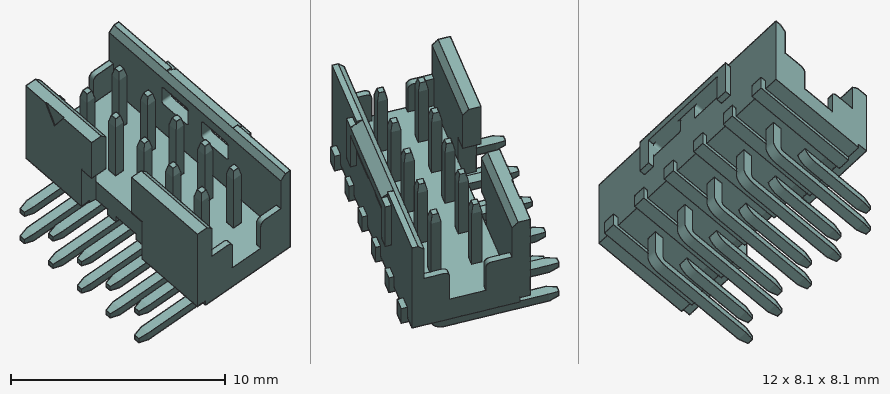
import cadquery as cq


columns = 5
body_width = 12.0
pitch = body_width / (columns + 1)
pin_width = pitch / 4
pin_tip_width = 0.3
pin_taper = 0.5
pin_top_z = -0.2
bend_inner_radius = 0.18
leg_end_y = -7.8
lowest_z = -8.1
back_row_y = -1.74
front_row_y = back_row_y - pitch
lower_leg_z = lowest_z + pin_width / 2
upper_leg_z = lower_leg_z + pitch

body_bottom_z = upper_leg_z + pin_width / 2
floor_top_z = -4.21
back_wall = 0.6
front_wall_inner_y = -4.9
front_wall_outer_y = -5.8
front_wall_bottom_z = -5.3
floor_front_y = -5.29
lead_in = 0.3

end_wall = 0.3
end_wall_top_z = -2.33
end_slot_back_y = -1.85
end_slot_front_y = -3.61
end_slot_round = 0.3

opening_upper_width = 2.8
opening_lower_width = 4.22
opening_step_z = -2.62

plate_width = 5.81
plate_proud = 0.3
plate_top_z = -0.32
plate_bottom_z = -3.08
ramp_width = 4.63

channel_width = ramp_width
window_inner_x = 0.47
window_outer_x = channel_width / 2
window_top_z = -0.91
window_bottom_z = -2.12
window_round = 0.15

foot_width = 0.61
foot_bottom_z = -5.9
foot_back_top_z = -4.87
outer_foot_proud = plate_proud
inner_foot_proud = 0.25

relief_height = 0.18
relief_length = 0.77

mark_width = 1.25
mark_height = 1.13
mark_depth = 0.05


def box(x_range, y_range, z_range):
    """Box spanning the given limits on each axis."""
    spans = [(min(r), max(r)) for r in (x_range, y_range, z_range)]
    sizes = [high - low for low, high in spans]
    corner = tuple(low for low, high in spans)
    return cq.Workplane("XY").box(*sizes, centered=False).translate(corner)


def centred_box(width, y_range, z_range, x=0.0):
    """Box of the given width centred on x."""
    return box((x - width / 2, x + width / 2), y_range, z_range)


def extrude_along_x(sketch, width):
    """Extrude a closed YZ sketch to the given width, centred on X = 0."""
    return sketch.extrude(width / 2, both=True)


def yz_prism(points, width):
    return extrude_along_x(cq.Workplane("YZ").polyline(points).close(), width)


def column_x(index, count):
    return (index - (count - 1) / 2) * pitch


def make_floor():
    return centred_box(body_width, (0, floor_front_y), (body_bottom_z, floor_top_z))


def make_back_wall():
    profile = [
        (0, body_bottom_z),
        (0, 0),
        (lead_in - back_wall, 0),
        (-back_wall, -lead_in),
        (-back_wall, body_bottom_z),
    ]
    return yz_prism(profile, body_width)


def make_front_wall():
    profile = [
        (front_wall_inner_y, front_wall_bottom_z),
        (front_wall_inner_y, -lead_in),
        (front_wall_inner_y - lead_in, 0),
        (front_wall_outer_y, 0),
        (front_wall_outer_y, front_wall_bottom_z),
    ]
    return yz_prism(profile, body_width)


def make_front_opening():
    """Stepped gap through the front wall and through the floor edge under it."""
    wall_y = (front_wall_inner_y, front_wall_outer_y)
    upper = centred_box(opening_upper_width, wall_y, (opening_step_z, 0))
    lower = centred_box(opening_lower_width, wall_y, (body_bottom_z, opening_step_z))
    return upper.union(lower)


def make_end_walls():
    profile = (
        cq.Workplane("YZ")
        .moveTo(0, floor_top_z)
        .lineTo(0, end_wall_top_z)
        .lineTo(end_slot_back_y + end_slot_round, end_wall_top_z)
        .radiusArc((end_slot_back_y, end_wall_top_z - end_slot_round), -end_slot_round)
        .lineTo(end_slot_back_y, floor_top_z)
        .close()
        .moveTo(front_wall_inner_y, floor_top_z)
        .lineTo(front_wall_inner_y, end_wall_top_z)
        .lineTo(end_slot_front_y - end_slot_round, end_wall_top_z)
        .radiusArc((end_slot_front_y, end_wall_top_z - end_slot_round), end_slot_round)
        .lineTo(end_slot_front_y, floor_top_z)
        .close()
    )
    wall = profile.extrude(end_wall)
    left = wall.translate((-body_width / 2, 0, 0))
    return left.union(wall.translate((body_width / 2 - end_wall, 0, 0)))


def make_back_plate():
    """Plate with a solid block for the ramp on top and an open channel behind the windows."""
    plate = centred_box(plate_width, (0, plate_proud), (plate_bottom_z, plate_top_z))
    infill = centred_box(ramp_width, (0, plate_proud), (plate_top_z, 0))
    channel = centred_box(channel_width, (0, plate_proud), (plate_bottom_z, window_top_z))
    return plate.union(infill).cut(channel)


def make_ramp_cut():
    points = [(lead_in - back_wall, 0), (plate_proud, 0), (plate_proud, plate_top_z)]
    return yz_prism(points, ramp_width)


def make_windows():
    window = box((window_inner_x, window_outer_x), (-back_wall, 0), (window_bottom_z, window_top_z))
    window = window.edges("|Y").fillet(window_round)
    return window.union(window.mirror("YZ"))


def make_feet():
    count = columns + 1
    feet = cq.Workplane("XY")
    for index in range(count):
        x = column_x(index, count)
        is_outer = index in (0, count - 1)
        back_y = outer_foot_proud if is_outer else inner_foot_proud
        front_y = front_wall_inner_y if abs(x) < opening_lower_width / 2 else floor_front_y
        foot_top_z = body_bottom_z + relief_height
        feet = feet.union(centred_box(foot_width, (back_y, front_y), (foot_bottom_z, foot_top_z), x))
        feet = feet.union(centred_box(foot_width, (back_y, 0), (foot_bottom_z, foot_back_top_z), x))
    return feet


def make_relief():
    points = [
        (floor_front_y, body_bottom_z),
        (floor_front_y, body_bottom_z + relief_height),
        (floor_front_y + relief_length, body_bottom_z),
    ]
    return yz_prism(points, columns * pitch)


def make_pin_one_mark():
    x = column_x(0, columns)
    points = [(x - mark_width / 2, 0), (x + mark_width / 2, 0), (x, -mark_height)]
    face = cq.Workplane("XZ", origin=(0, front_wall_outer_y, 0))
    return face.polyline(points).close().extrude(-mark_depth)


def make_tip(plane, origin):
    """Tapered square pin tip growing along the normal of the plane."""
    base = cq.Workplane(plane, origin=origin).rect(pin_width, pin_width)
    return base.workplane(offset=pin_taper).rect(pin_tip_width, pin_tip_width).loft()


def make_pin(row_y, leg_z):
    """Square pin centred on X = 0, rising at row_y and bent to a leg at leg_z."""
    half = pin_width / 2
    outer_radius = bend_inner_radius + pin_width
    back_y = row_y + half
    front_y = row_y - half
    bottom_z = leg_z - half
    top_z = leg_z + half
    bend_y = front_y - bend_inner_radius
    bend_z = top_z + bend_inner_radius
    post_top_z = pin_top_z - pin_taper
    leg_front_y = leg_end_y + pin_taper
    profile = (
        cq.Workplane("YZ")
        .moveTo(back_y, post_top_z)
        .lineTo(back_y, bend_z)
        .radiusArc((bend_y, bottom_z), outer_radius)
        .lineTo(leg_front_y, bottom_z)
        .lineTo(leg_front_y, top_z)
        .lineTo(bend_y, top_z)
        .radiusArc((front_y, bend_z), -bend_inner_radius)
        .lineTo(front_y, post_top_z)
        .close()
    )
    pin = extrude_along_x(profile, pin_width)
    pin = pin.union(make_tip("XY", (0, row_y, post_top_z)))
    return pin.union(make_tip("XZ", (0, leg_front_y, leg_z)))


housing = make_floor().union(make_back_wall()).union(make_front_wall()).cut(make_front_opening())
housing = housing.union(make_end_walls())
housing = housing.union(make_back_plate()).cut(make_ramp_cut()).cut(make_windows())
housing = housing.cut(make_relief()).union(make_feet()).cut(make_pin_one_mark())

result = housing
for row_y, leg_z in ((back_row_y, lower_leg_z), (front_row_y, upper_leg_z)):
    row_pin = make_pin(row_y, leg_z)
    for column in range(columns):
        result = result.union(row_pin.translate((column_x(column, columns), 0, 0)))